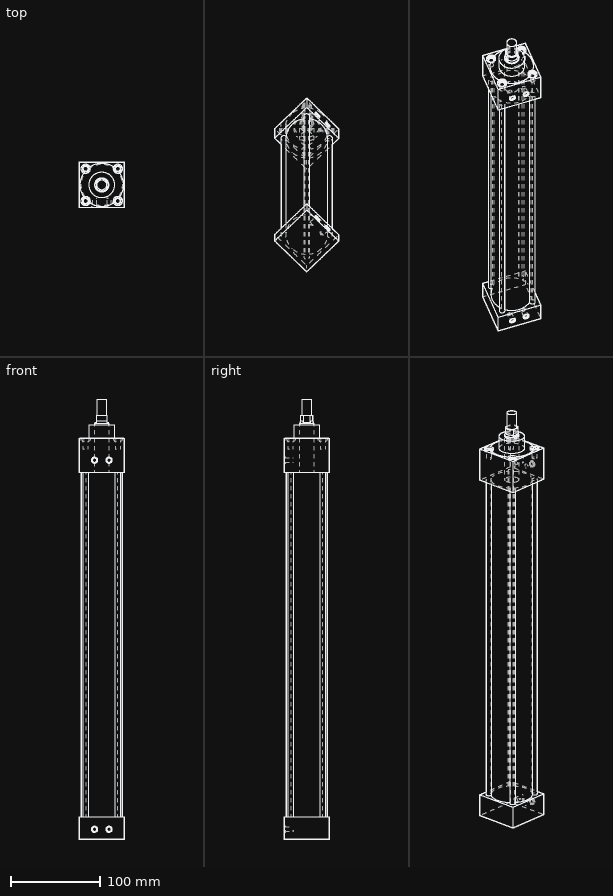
import cadquery as cq
import math

block_side = 50.8
total_length = 492.125

base_cap_height = 25.4
head_height = 38.1
nose_height = 15.2
rod_projection = 28.6

base_cap_top = base_cap_height
nose_top = total_length - rod_projection
head_top = nose_top - nose_height
head_bottom = head_top - head_height

tube_diameter = 46.1
nose_diameter = 28.6
pilot_diameter = 48.4
pilot_height = 0.3

tie_rod_diameter = 6.35
tie_rod_spacing = 36.0
screw_recess_diameter = 10.3
screw_recess_depth = 2.0
screw_step_diameter = 7.4
screw_step_depth = 3.5
screw_hole_diameter = 5.5
screw_hole_depth = 12.0

side_hole_diameter = 7.0
side_hole_depth = 1.5
side_bore_diameter = 5.0
side_bore_depth = 10.0
side_hole_spacing = 16.2
head_side_hole_z = head_bottom + 13.8
base_side_hole_z = 11.4

drill_point_angle = 118

thread_diameter = 11.1
thread_length = 18.0
collar_diameter = 14.0
flats_length = 7.7
flats_width = 12.0
rod_diameter = 15.875
taper_length = 2.4
rod_shoulder_height = 4.1

pilot_top = head_top + pilot_height
collar_top = total_length - thread_length
collar_bottom = nose_top + rod_shoulder_height
taper_bottom = collar_bottom - taper_length
rod_bottom = head_bottom


def square_block(bottom, height):
    return cq.Workplane("XY", origin=(0, 0, bottom)).rect(block_side, block_side).extrude(height)


def cylinder(diameter, bottom, top):
    return cq.Workplane("XY", origin=(0, 0, bottom)).circle(diameter / 2).extrude(top - bottom)


def drilled_hole(diameter, depth):
    """Blind hole that opens upward at the origin and ends in a conical drill point."""
    radius = diameter / 2
    point_depth = radius / math.tan(math.radians(drill_point_angle / 2))
    return (
        cq.Workplane("XZ")
        .polyline([(0, 0), (radius, 0), (radius, -depth), (0, -depth - point_depth)])
        .close()
        .revolve(360, (0, 0), (0, 1))
    )


def corner_points():
    offset = tie_rod_spacing / 2
    return [(x, y) for x in (-offset, offset) for y in (-offset, offset)]


def screw_recess():
    """Stepped recess that opens upward at the top of the pilot."""
    recess = cylinder(screw_recess_diameter, -screw_recess_depth, 0)
    step = cylinder(screw_step_diameter, -screw_step_depth, 0)
    return recess.union(step).union(drilled_hole(screw_hole_diameter, screw_hole_depth))


def side_hole():
    """Stepped hole that opens toward -Y at the origin."""
    mouth = cylinder(side_hole_diameter, -side_hole_depth, 0)
    hole = mouth.union(drilled_hole(side_bore_diameter, side_bore_depth))
    return hole.rotate((0, 0, 0), (1, 0, 0), 90)


def make_housing():
    base_cap = square_block(0, base_cap_height)
    head = square_block(head_bottom, head_height)
    head = head.union(cylinder(pilot_diameter, head_top, pilot_top))
    tube = cylinder(tube_diameter, base_cap_top, head_bottom)
    nose = cylinder(nose_diameter, head_top, nose_top)
    housing = base_cap.union(tube).union(head).union(nose)
    for x, y in corner_points():
        tie_rod = cylinder(tie_rod_diameter, base_cap_top, head_bottom).translate((x, y, 0))
        housing = housing.union(tie_rod)
        housing = housing.cut(screw_recess().translate((x, y, pilot_top)))
    for z in (base_side_hole_z, head_side_hole_z):
        for x in (-side_hole_spacing / 2, side_hole_spacing / 2):
            housing = housing.cut(side_hole().translate((x, -block_side / 2, z)))
    return housing.cut(cylinder(rod_diameter, rod_bottom, nose_top))


def wrench_flats():
    """The two slabs of material that the flats remove from the +X and -X sides of the collar."""
    blank = cq.Workplane("XY", origin=(0, 0, collar_top))
    slab = blank.rect(rod_diameter, rod_diameter).extrude(-flats_length)
    return slab.cut(blank.rect(flats_width, rod_diameter).extrude(-flats_length))


def make_piston_rod():
    outline = [
        (0, rod_bottom),
        (rod_diameter / 2, rod_bottom),
        (rod_diameter / 2, taper_bottom),
        (collar_diameter / 2, collar_bottom),
        (collar_diameter / 2, collar_top),
        (thread_diameter / 2, collar_top),
        (thread_diameter / 2, total_length),
        (0, total_length),
    ]
    turned_rod = cq.Workplane("XZ").polyline(outline).close().revolve(360, (0, 0), (0, 1))
    return turned_rod.cut(wrench_flats())


housing = make_housing()
piston_rod = make_piston_rod()
result = cq.Compound.makeCompound([housing.val(), piston_rod.val()])